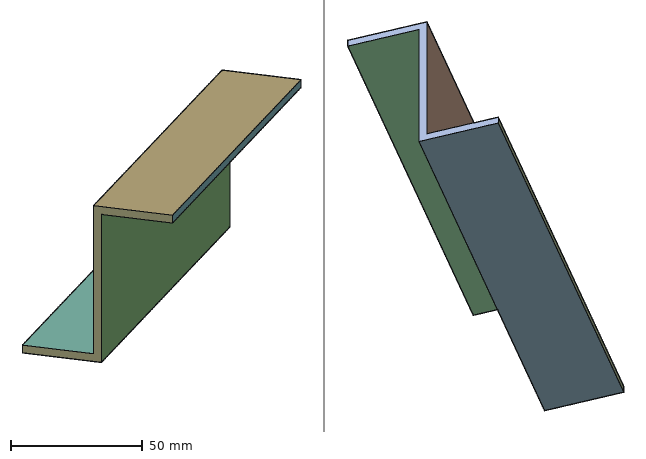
import cadquery as cq

width = 60.4
length = 152.4
height = 63.5
thickness = 3.2

flange_width = (width + thickness) / 2


def wall(size_x, size_z, left, bottom):
    """Full-length flat wall with its lower left edge at the given place."""
    return (
        cq.Workplane("XY")
        .box(size_x, length, size_z, centered=(False, True, False))
        .translate((left, 0, bottom))
    )


web_left = -thickness / 2
bottom_flange = wall(flange_width, thickness, -width / 2, -height / 2)
web = wall(thickness, height, web_left, -height / 2)
top_flange = wall(flange_width, thickness, web_left, height / 2 - thickness)

result = web.union(bottom_flange).union(top_flange).clean()